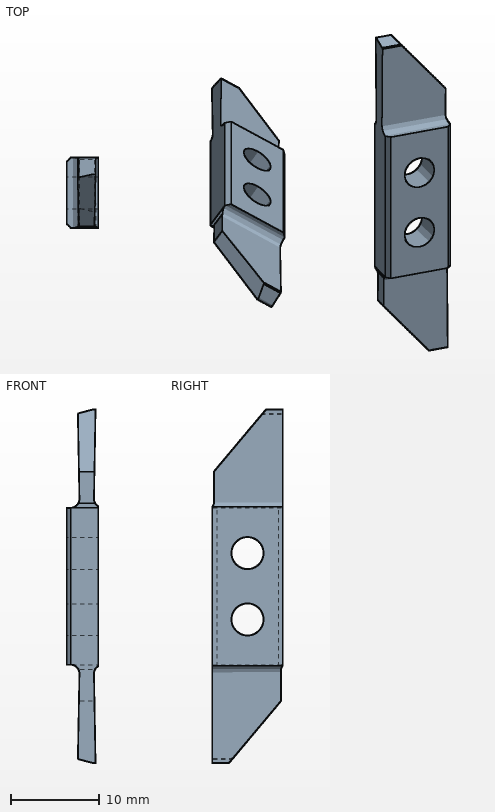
import cadquery as cq
import math

body_thickness = 3.6
body_width = 8.0
body_half_length = 8.87
edge_chamfer = 0.5
hole_diameter = 3.6
hole_spacing = 7.5

tip_height = 19.995
blade_back_x = -0.36
blade_front_x = 1.31
flare_angle = 1.0
tip_angle = 15.0
tip_land = 0.3
tip_bevel = 0.12
root_radius = 1.0
blade_inset = 0.2
inset_rise = 0.5
tip_width = 1.9
nose_angle = 40.0

half_thickness = body_thickness / 2
half_width = body_width / 2
root_top = body_half_length + root_radius
flare_slope = math.tan(math.radians(flare_angle))
flare_run = (tip_height - root_top) * flare_slope
tip_front_x = blade_front_x + flare_run
tip_slope = math.tan(math.radians(tip_angle))
tip_back_x = blade_back_x - flare_run
land_back_x = tip_front_x - tip_land
bevel_top_x = tip_back_x + tip_bevel
bevel_top_z = tip_height - (land_back_x - bevel_top_x) * tip_slope


def arc_point(center, angle):
    """Point on a root fillet at an angle in degrees from +X."""
    turn = math.radians(angle)
    return center[0] + root_radius * math.cos(turn), center[1] + root_radius * math.sin(turn)


def thickness_profile():
    """Upper half of the part in XZ, extruded across the full width."""
    back_center = (blade_back_x - root_radius, root_top)
    front_center = (blade_front_x + root_radius, root_top)
    runout = 180 + math.degrees(math.acos((front_center[0] - half_thickness) / root_radius))
    return (
        cq.Workplane("XZ")
        .moveTo(-half_thickness, 0)
        .lineTo(-half_thickness, body_half_length)
        .lineTo(back_center[0], body_half_length)
        .threePointArc(arc_point(back_center, -45), arc_point(back_center, 0))
        .lineTo(tip_back_x, bevel_top_z - tip_bevel)
        .lineTo(bevel_top_x, bevel_top_z)
        .lineTo(land_back_x, tip_height)
        .lineTo(tip_front_x, tip_height)
        .lineTo(*arc_point(front_center, 180))
        .threePointArc(arc_point(front_center, (180 + runout) / 2), arc_point(front_center, runout))
        .lineTo(half_thickness, 0)
        .close()
        .extrude(half_width, both=True)
    )


def width_profile():
    """Upper half of the part in YZ, extruded through the full thickness."""
    inset_y = -half_width + blade_inset
    tip_y = half_width - tip_width
    nose_bottom = tip_height - (tip_y - inset_y) / math.tan(math.radians(nose_angle))
    return (
        cq.Workplane("YZ")
        .polyline([
            (-half_width, 0),
            (-half_width, body_half_length),
            (inset_y, body_half_length + inset_rise),
            (inset_y, nose_bottom),
            (tip_y, tip_height),
            (half_width, tip_height),
            (half_width, 0),
        ])
        .close()
        .extrude(half_thickness, both=True)
    )


def chamfered_section():
    """Body cross-section in XY, with its two -X corners bevelled."""
    return (
        cq.Workplane("XY")
        .rect(body_thickness, body_width)
        .extrude(tip_height)
        .edges("|Z and <X")
        .chamfer(edge_chamfer)
    )


def mounting_holes():
    """Two through holes along X."""
    return (
        cq.Workplane("YZ", origin=(-half_thickness, 0, 0))
        .pushPoints([(0, -hole_spacing / 2), (0, hole_spacing / 2)])
        .circle(hole_diameter / 2)
        .extrude(body_thickness)
    )


upper_half = thickness_profile().intersect(width_profile()).intersect(chamfered_section())
lower_half = upper_half.rotate((0, 0, 0), (1, 0, 0), 180)
result = upper_half.union(lower_half).clean().cut(mounting_holes())